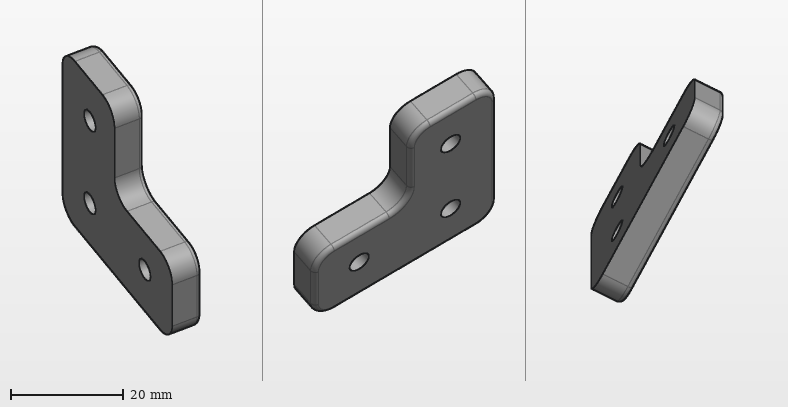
import cadquery as cq

leg_length = 40.0
leg_width = 19.0
thickness = 6.0
corner_radius = 4.5
back_edge_radius = 1.0
hole_diameter = 4.2
hole_inset = 10.0
hole_spacing = 20.0


def make_plate():
    """L-shaped plate with rounded corners and a rounded back rim."""
    outline = [
        (0, 0),
        (leg_length, 0),
        (leg_length, leg_width),
        (leg_width, leg_width),
        (leg_width, leg_length),
        (0, leg_length),
    ]
    plate = cq.Workplane("XZ").polyline(outline).close().extrude(-thickness)
    plate = plate.edges("|Y").fillet(corner_radius)
    return plate.faces(">Y").edges().fillet(back_edge_radius)


def make_holes():
    """Through-hole cutters: one at the elbow and one on each leg."""
    far = hole_inset + hole_spacing
    centers = [(hole_inset, hole_inset), (far, hole_inset), (hole_inset, far)]
    return cq.Workplane("XZ").pushPoints(centers).circle(hole_diameter / 2).extrude(-thickness)


result = make_plate().cut(make_holes())